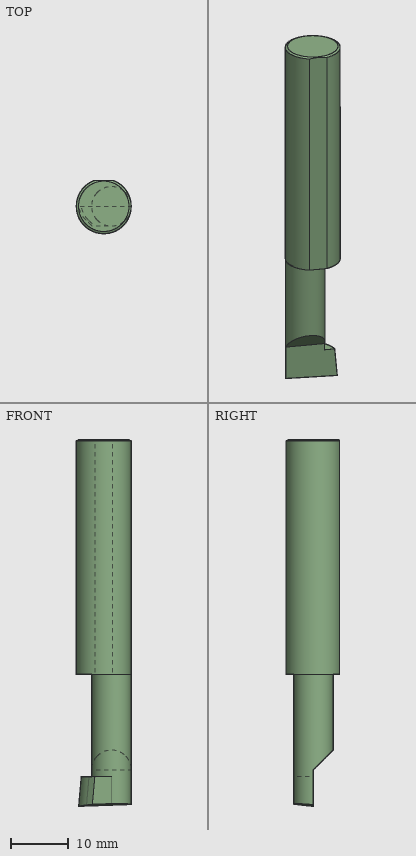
import cadquery as cq
import math

total_length = 63.49
shank_diameter = 9.53
shank_length = 40.64
flat_distance = 4.505
top_chamfer_width = 0.4
top_chamfer_height = 0.2

neck_diameter = 6.86
rake_start_height = 6.35
rake_slope_angle = 45.0

head_height = 5.15
tip_x = -4.36
flank_end = (-3.0, -2.5)
bevel_end_x = -2.0
flank_bulge = 0.23
side_relief_angle = 5.0

clearance_angle_x = 2.0
clearance_angle_y = 5.0

shank_radius = shank_diameter / 2
shank_bottom = total_length - shank_length
neck_radius = neck_diameter / 2
neck_x = shank_radius - neck_radius
oversize = 4 * shank_diameter
base_margin = 1.0


def make_shank():
    profile = [
        (0, shank_bottom),
        (shank_radius, shank_bottom),
        (shank_radius, total_length - top_chamfer_height),
        (shank_radius - top_chamfer_width, total_length),
        (0, total_length),
    ]
    bar = cq.Workplane("XZ").polyline(profile).close().revolve(360, (0, 0, 0), (0, 1, 0))
    flat_cut = (
        cq.Workplane("XY")
        .box(oversize, oversize, total_length, centered=(True, False, False))
        .translate((0, flat_distance, 0))
    )
    return bar.cut(flat_cut)


def make_neck():
    bar = (
        cq.Workplane("XY", origin=(neck_x, 0, -base_margin))
        .circle(neck_radius)
        .extrude(shank_bottom + base_margin)
    )
    slope_rise = shank_diameter * math.tan(math.radians(rake_slope_angle))
    rake_profile = [
        (0, -base_margin),
        (0, rake_start_height),
        (shank_diameter, rake_start_height + slope_rise),
        (shank_diameter, -base_margin),
    ]
    rake_cut = cq.Workplane("YZ").polyline(rake_profile).close().extrude(oversize / 2, both=True)
    return bar.cut(rake_cut)


def draw_head_outline(height):
    """Closed head outline at a height, shifted by the side relief."""
    relief = height * math.tan(math.radians(side_relief_angle))
    flank_x, flank_y = flank_end
    chord_x = flank_x - tip_x
    chord_length = math.hypot(chord_x, flank_y)
    flank_middle = (
        (tip_x + flank_x) / 2 + flank_bulge * flank_y / chord_length + relief,
        flank_y / 2 - flank_bulge * chord_x / chord_length,
    )
    return (
        cq.Workplane("XY", origin=(0, 0, height))
        .moveTo(tip_x + relief, 0)
        .threePointArc(flank_middle, (flank_x + relief, flank_y))
        .lineTo(bevel_end_x + relief, -neck_radius)
        .lineTo(neck_x, -neck_radius)
        .lineTo(neck_x, 0)
        .close()
        .wire()
        .val()
    )


def make_head():
    outlines = [draw_head_outline(-base_margin), draw_head_outline(head_height)]
    return cq.Workplane(cq.Solid.makeLoft(outlines, True))


def make_bottom_cut():
    """Half-space below the sloping bottom face, which passes through the tip."""
    rise_x = math.tan(math.radians(clearance_angle_x))
    rise_y = math.tan(math.radians(clearance_angle_y))
    face = cq.Plane(origin=(tip_x, 0, 0), xDir=(1, 0, rise_x), normal=(-rise_x, rise_y, 1))
    return cq.Workplane(face).rect(oversize, oversize).extrude(-oversize)


tool_end = make_neck().union(make_head()).cut(make_bottom_cut())
result = make_shank().union(tool_end)